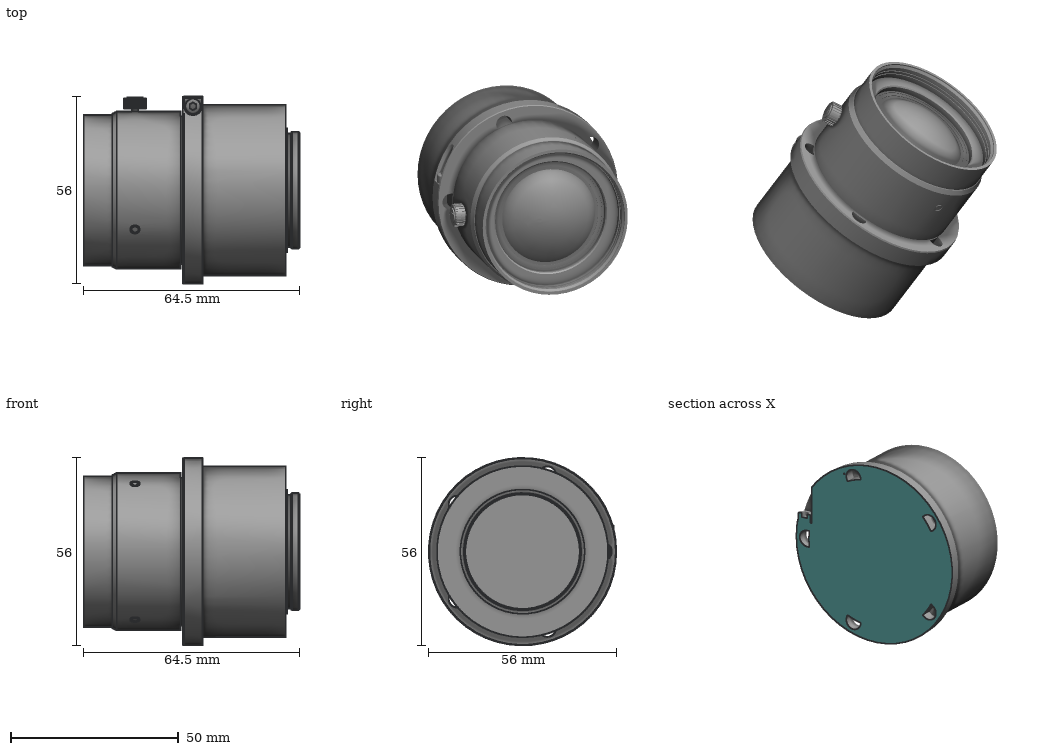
import cadquery as cq
import math


front_tube_radius = 45.0 / 2
front_tube_end = 8.5
ring_radius = 47.0 / 2
ring_front_radius = 22.75
ring_shoulder_start = 9.9
ring_end = 28.95
neck_radius = 22.1

flange_radius = 56.0 / 2
flange_start = 29.55
flange_end = 35.6
flange_front_chamfer_length = 0.45
flange_chamfer = 0.2

housing_radius = 51.1 / 2
housing_end = 60.35
collar_radius = 37.1 / 2
collar_end = 60.8
mount_neck_radius = 34.0 / 2
mount_start = 61.8
mount_radius = 35.0 / 2
mount_chamfer = 0.45
overall_length = 64.5

mouth_radius = 43.2 / 2
mouth_depth = 0.4
filter_bore_radius = 21.1
filter_bore_start = 1.1
filter_bore_end = 3.4
filter_groove_depth = 0.25
filter_groove_start = 2.1
filter_groove_end = 2.5
inner_bore_radius = 20.8
bore_floor = 4.95
retainer_mouth_radius = 35.0 / 2
retainer_radius = 34.3 / 2
retainer_floor = 6.95
seat_radius = 33.0 / 2
inner_seat_radius = 15.35
seat_step = 0.1

lens_radius = 14.4
lens_rim_depth = retainer_floor + 2 * seat_step
lens_apex_depth = 2.6
lens_sag = lens_rim_depth - lens_apex_depth
lens_sphere_radius = (lens_radius**2 + lens_sag**2) / (2 * lens_sag)

flange_slot_count = 5
flange_slot_width = 4.95
flange_slot_outer_radius = 26.6
core_radius = 23.5

lock_screw_x = 15.35
lock_screw_spacing = 120.0
lock_hole_diameter = 2.8
lock_pin_diameter = 2.05
lock_groove_depth = 0.2

stem_diameter = 2.0
stem_end = 27.8
stem_root = ring_radius - 0.65
knob_diameter = 6.85
knob_start = 24.3
knob_end = 27.4
knob_chamfer = 0.25
knob_cap_diameter = 4.5
knob_cap_end = 27.7
knurl_count = 24
knurl_width = 0.45
knurl_depth = 0.25

clamp_screw_x = 32.6
clamp_screw_y = 25.0
clamp_head_diameter = 4.5
clamp_head_top = 7.9
clamp_head_height = 2.5
clamp_head_fillet = 0.45
clamp_socket_width = 2.0
clamp_socket_depth = 1.3
clamp_pocket_width = 5.2


def make_lens_body():
    """Revolve the outer steps, the front bore and the domed lens in one profile."""
    lens_mid_radius = lens_radius / 2
    lens_mid_depth = (
        lens_apex_depth + lens_sphere_radius - math.sqrt(lens_sphere_radius**2 - lens_mid_radius**2)
    )
    groove_radius = filter_bore_radius + filter_groove_depth
    retainer_chamfer_end = bore_floor + retainer_mouth_radius - retainer_radius
    profile = (
        cq.Workplane("XY")
        .moveTo(lens_apex_depth, 0)
        .threePointArc((lens_mid_depth, lens_mid_radius), (lens_rim_depth, lens_radius))
        .lineTo(lens_rim_depth, inner_seat_radius)
        .lineTo(retainer_floor + seat_step, inner_seat_radius)
        .lineTo(retainer_floor + seat_step, seat_radius)
        .lineTo(retainer_floor, seat_radius)
        .lineTo(retainer_floor, retainer_radius)
        .lineTo(retainer_chamfer_end, retainer_radius)
        .lineTo(bore_floor, retainer_mouth_radius)
        .lineTo(bore_floor, inner_bore_radius)
        .lineTo(filter_bore_end, inner_bore_radius)
        .lineTo(filter_bore_end, filter_bore_radius)
        .lineTo(filter_groove_end, filter_bore_radius)
        .lineTo(filter_groove_end, groove_radius)
        .lineTo(filter_groove_start, groove_radius)
        .lineTo(filter_groove_start, filter_bore_radius)
        .lineTo(filter_bore_start, filter_bore_radius)
        .lineTo(mouth_depth, mouth_radius)
        .lineTo(0, mouth_radius)
        .lineTo(0, front_tube_radius)
        .lineTo(front_tube_end, front_tube_radius)
        .lineTo(front_tube_end, ring_front_radius)
        .lineTo(ring_shoulder_start, ring_radius)
        .lineTo(ring_end, ring_radius)
        .lineTo(ring_end, neck_radius)
        .lineTo(flange_start, neck_radius)
        .lineTo(flange_start, flange_radius - flange_chamfer)
        .lineTo(flange_start + flange_front_chamfer_length, flange_radius)
        .lineTo(flange_end - flange_chamfer, flange_radius)
        .lineTo(flange_end, flange_radius - flange_chamfer)
        .lineTo(flange_end, housing_radius)
        .lineTo(housing_end, housing_radius)
        .lineTo(housing_end, collar_radius)
        .lineTo(collar_end, collar_radius)
        .lineTo(collar_end, mount_neck_radius)
        .lineTo(mount_start, mount_neck_radius)
        .lineTo(mount_start, mount_radius - mount_chamfer)
        .lineTo(mount_start + mount_chamfer, mount_radius)
        .lineTo(overall_length - mount_chamfer, mount_radius)
        .lineTo(overall_length, mount_radius - mount_chamfer)
        .lineTo(overall_length, 0)
        .close()
    )
    return profile.revolve(360, (0, 0, 0), (1, 0, 0))


def make_flange_slots():
    """Five axial slots through the flange, rounded outside and ending inside on the core."""
    flange_width = flange_end - flange_start
    slot_inner_end = core_radius - flange_slot_width
    slot_length = flange_slot_outer_radius - slot_inner_end
    slot_middle_radius = (flange_slot_outer_radius + slot_inner_end) / 2
    plane = cq.Workplane("YZ", origin=(flange_start, 0, 0))
    slots = (
        plane.polarArray(slot_middle_radius, 0, 360, flange_slot_count)
        .slot2D(slot_length, flange_slot_width)
        .extrude(flange_width)
    )
    return slots.cut(plane.circle(core_radius).extrude(flange_width))


def make_lock_screw_groove(angle):
    """Ring groove around a flush locking screw, turned about the lens axis from +Y."""
    groove = (
        cq.Workplane("XZ", origin=(lock_screw_x, ring_radius - lock_groove_depth, 0))
        .circle(lock_hole_diameter / 2)
        .circle(lock_pin_diameter / 2)
        .extrude(-2 * lock_groove_depth)
    )
    return groove.rotate((0, 0, 0), (1, 0, 0), angle)


def radial_disc(diameter, start, end):
    """Disc about the thumbscrew axis, between two distances from the lens axis."""
    return (
        cq.Workplane("XZ", origin=(lock_screw_x, start, 0))
        .circle(diameter / 2)
        .extrude(start - end)
    )


def make_thumbscrew():
    """Stem with a knurled knob and a small raised cap."""
    knob = radial_disc(knob_diameter, knob_start, knob_end).faces("<Y or >Y").chamfer(knob_chamfer)
    knurl_grooves = (
        cq.Workplane("XZ", origin=(lock_screw_x, knob_start, 0))
        .polarArray(knob_diameter / 2, 0, 360, knurl_count)
        .rect(2 * knurl_depth, knurl_width)
        .extrude(knob_start - knob_end)
    )
    stem = radial_disc(stem_diameter, stem_root, stem_end)
    cap = radial_disc(knob_cap_diameter, knob_start, knob_cap_end)
    return knob.cut(knurl_grooves).union(cap).union(stem)


def make_clamp_pocket():
    """Round-ended pocket for the clamp screw, open to the flange rim and upwards."""
    floor = clamp_head_top - clamp_head_height
    depth = flange_radius - floor
    open_length = flange_radius - clamp_screw_y
    plane = cq.Workplane("XY", origin=(clamp_screw_x, clamp_screw_y, floor))
    round_end = plane.circle(clamp_pocket_width / 2).extrude(depth)
    open_side = plane.center(0, open_length / 2).rect(clamp_pocket_width, open_length).extrude(depth)
    return round_end.union(open_side)


def make_clamp_screw():
    """Cap screw head with a rounded top edge and a hexagonal socket."""
    floor = clamp_head_top - clamp_head_height
    socket_corner_diameter = clamp_socket_width / math.cos(math.radians(30))
    head = (
        cq.Workplane("XY", origin=(clamp_screw_x, clamp_screw_y, floor))
        .circle(clamp_head_diameter / 2)
        .extrude(clamp_head_height)
        .faces(">Z")
        .edges()
        .fillet(clamp_head_fillet)
    )
    socket = (
        cq.Workplane("XY", origin=(clamp_screw_x, clamp_screw_y, clamp_head_top - clamp_socket_depth))
        .transformed(rotate=(0, 0, 90))
        .polygon(6, socket_corner_diameter)
        .extrude(clamp_socket_depth)
    )
    return head.cut(socket)


result = make_lens_body().cut(make_flange_slots())
for turn in (1, 2):
    result = result.cut(make_lock_screw_groove(turn * lock_screw_spacing))
result = result.cut(make_clamp_pocket()).union(make_clamp_screw())
result = result.union(make_thumbscrew())